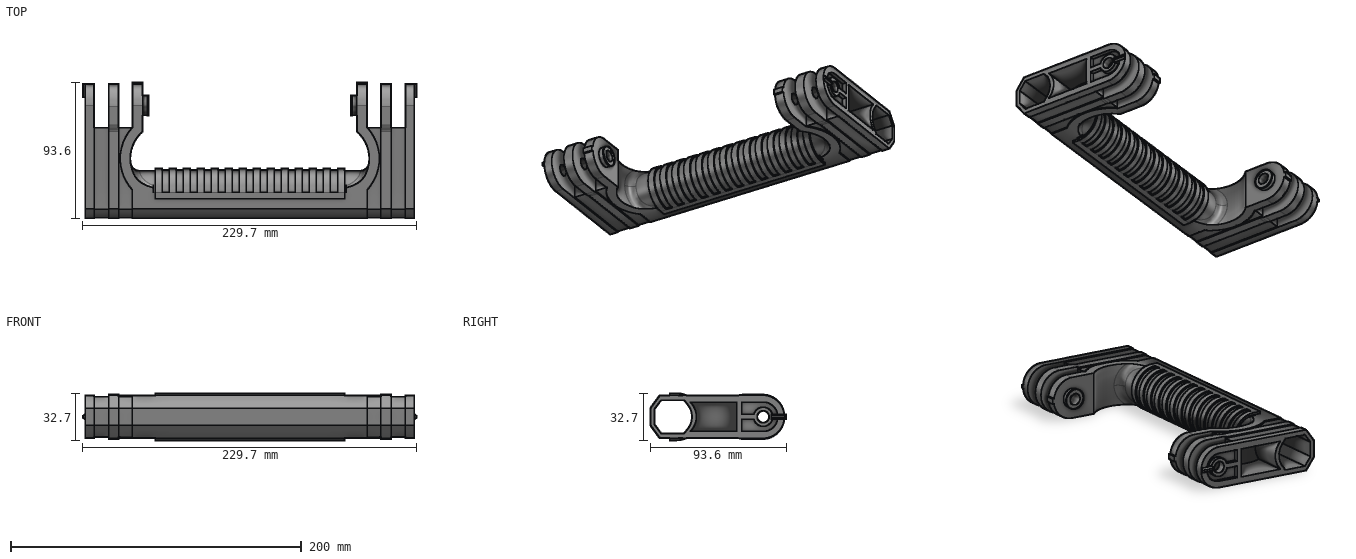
import cadquery as cq
import math

overall_width = 229.74
half_width = 113.2
half_height = 14.75
front_half_height = 6.0
chamfer_depth = 6.4
pivot_y = 77.65
lug_tip_y = pivot_y + half_height
chamfer_rise = half_height - front_half_height

outer_lug_inner_x = 107.1
middle_lug_x = (90.2, 97.2)
inner_lug_x = (73.7, 80.7)
middle_half_height = 15.4
middle_ramp_y = (59.7, 61.7, 64.5)
panel_inset = 0.3
gap_half_height = 13.95
slot_floor_y = 62.3

clearance_x = 57.4
clearance_y = 41.0
clearance_radius = 24.75
band_thickness = inner_lug_x[1] - inner_lug_x[0]
band_radius = clearance_radius + band_thickness

grip_y = 18.0
grip_radius = half_height
grip_fillet_radius = 6.0
pad_half_length = 65.2
pad_start_y = 13.25
overall_height = 32.66
ring_radius = overall_height / 2
groove_radius = 15.3
ring_count = 14
ring_width = 2 * pad_half_length / (2 * ring_count - 1)
ring_pitch = 2 * ring_width

bore_half_height = 11.35
bore_front_y = 2.9
bore_front_half_height = 5.2
bore_chamfer_end_y = 7.5
bore_flat_end_y = 23.3
bore_arc_start_y = 26.1
bore_arc_half_height = 7.8
bore_back_y = 28.6

pocket_end_y = 59.4
pocket_half_height = 10.1
pocket_wall_y = 17.5
pocket_wall_radius = 14.2
recess_depth = 3.0
recess_start_y = 62.9
recess_radius = 10.1
hub_radius = 6.6
rib_half_height = 1.75

pivot_hole_radius = 4.0
boss_radius = 7.1
boss_length = 4.1
boss_shank_radius = 6.9
boss_lip_length = 0.8
ridge_height = overall_width / 2 - half_width
ridge_start_y = 83.2
ridge_crest_half_height = 0.7
ridge_root_gap = 0.3
nub_tip_y = 93.55
nub_half_height = 1.85


def box(x0, x1, y0, y1, half_z):
    """Block between two X and two Y values, symmetric in Z."""
    return cq.Workplane("XY").box(x1 - x0, y1 - y0, 2 * half_z).translate(
        ((x0 + x1) / 2, (y0 + y1) / 2, 0))


def x_extrude(outline, x0, x1):
    """Extrude a closed YZ outline from x0 to x1."""
    return outline.extrude(x1 - x0).translate((x0, 0, 0))


def x_cylinder(y, radius, x0, x1):
    """Cylinder along X, centred on Z = 0."""
    return x_extrude(cq.Workplane("YZ").center(y, 0).circle(radius), x0, x1)


def z_cylinder(x, y, radius):
    """Upright cylinder reaching beyond both faces of the body."""
    return cq.Workplane("XY").center(x, y).circle(radius).extrude(2 * half_height, both=True)


def both_ends(shape):
    """The shape together with its mirror image at the other end."""
    return shape.union(shape.mirror("YZ"))


def chamfered_front(outline, half_z):
    """Start an outline at its lower chamfer edge and lead it round the front to the upper one."""
    edge_y = chamfer_depth * (half_z - front_half_height) / chamfer_rise
    return (outline.moveTo(edge_y, -half_z).lineTo(0, -front_half_height)
            .lineTo(0, front_half_height).lineTo(edge_y, half_z))


def lug(x0, x1):
    """Full-length plate with a round end about the hinge axis."""
    outline = (chamfered_front(cq.Workplane("YZ"), half_height)
               .lineTo(pivot_y, half_height)
               .threePointArc((lug_tip_y, 0), (pivot_y, -half_height)).close())
    return x_extrude(outline, x0, x1)


def middle_lug():
    """Plate whose hinge end is raised by a smooth S-shaped ramp on both faces."""
    start_y, turn_y, end_y = middle_ramp_y
    rise = middle_half_height - half_height
    turn_z = half_height + rise * (turn_y - start_y) / (end_y - start_y)
    round_y = lug_tip_y - middle_half_height
    outline = (chamfered_front(cq.Workplane("YZ"), half_height)
               .lineTo(start_y, half_height)
               .tangentArcPoint((turn_y, turn_z), relative=False)
               .tangentArcPoint((end_y, middle_half_height), relative=False)
               .lineTo(round_y, middle_half_height)
               .threePointArc((lug_tip_y, 0), (round_y, -middle_half_height))
               .lineTo(end_y, -middle_half_height)
               .tangentArcPoint((turn_y, -turn_z), relative=False)
               .tangentArcPoint((start_y, -half_height), relative=False)
               .close())
    return x_extrude(outline, *middle_lug_x)


def slab(x0, x1, end_y, half_z):
    """Plain section with the chamfered front and a flat back."""
    outline = (chamfered_front(cq.Workplane("YZ"), half_z)
               .lineTo(end_y, half_z).lineTo(end_y, -half_z).close())
    return x_extrude(outline, x0, x1)


def end_block():
    """One end: three lugs, the sunken panels between them and the curved band."""
    panels = slab(inner_lug_x[0], half_width, slot_floor_y - panel_inset, gap_half_height)
    panels = panels.translate((0, panel_inset, 0))
    band = slab(inner_lug_x[0], half_width, slot_floor_y, half_height)
    band = band.union(slab(clearance_x, inner_lug_x[0], clearance_y, half_height))
    band = band.intersect(z_cylinder(clearance_x, clearance_y, band_radius))
    foot = slab(*inner_lug_x, clearance_y, half_height)
    block = panels.union(band).union(foot)
    block = block.union(lug(*inner_lug_x))
    block = block.cut(z_cylinder(clearance_x, clearance_y, clearance_radius))
    block = block.union(lug(outer_lug_inner_x, half_width))
    return block.union(middle_lug())


def grip():
    """Cross bar with a half-round back, joined to the bands at both ends."""
    bar = slab(-inner_lug_x[1], inner_lug_x[1], grip_y, half_height)
    back = x_cylinder(grip_y, grip_radius, -inner_lug_x[1], inner_lug_x[1])
    return bar.union(back)


def grip_fillet():
    """Fillet between the round grip back and the wall of the hand clearance at one end.

    The fillet is rolled around a full round bar against an over-tall wall that continues
    tangentially below the grip axis, then trimmed to the thickness of the body.
    """
    wall_x = clearance_x + math.sqrt(clearance_radius**2 - (grip_y - clearance_y)**2)
    slope = (clearance_y - grip_y) / (wall_x - clearance_x)
    high_y = 2 * clearance_y - grip_y
    low_y = grip_y - 2 * grip_radius
    low_x = wall_x - slope * (grip_y - low_y)
    wall = (cq.Workplane("XY").moveTo(low_x, low_y).lineTo(wall_x, grip_y)
            .threePointArc((clearance_x + clearance_radius, clearance_y), (wall_x, high_y))
            .lineTo(half_width, high_y).lineTo(half_width, low_y).close()
            .extrude(2 * half_height, both=True))
    bar = x_cylinder(grip_y, grip_radius, low_x - half_width, half_width)
    joint = wall.union(bar)
    joint = joint.edges("%ELLIPSE").fillet(grip_fillet_radius)
    joint = joint.intersect(box(wall_x, half_width, grip_y, clearance_y, half_height))
    return joint.intersect(z_cylinder(clearance_x, clearance_y, band_radius))


def grip_pad():
    """Raised pad on both flats with ribbed half-round back."""
    pad = box(-pad_half_length, pad_half_length, pad_start_y, grip_y, ring_radius)
    pad = pad.union(x_cylinder(grip_y, groove_radius, -pad_half_length, pad_half_length))
    for index in range(ring_count):
        x0 = -pad_half_length + index * ring_pitch
        pad = pad.union(x_cylinder(grip_y, ring_radius, x0, x0 + ring_width))
    front_space = box(-pad_half_length, pad_half_length, 0, pad_start_y, 2 * half_height)
    return pad.cut(front_space)


def bore():
    """Through bore with chamfered corners and a round back."""
    outline = (cq.Workplane("YZ")
               .moveTo(bore_chamfer_end_y, -bore_half_height)
               .lineTo(bore_front_y, -bore_front_half_height)
               .lineTo(bore_front_y, bore_front_half_height)
               .lineTo(bore_chamfer_end_y, bore_half_height)
               .lineTo(bore_flat_end_y, bore_half_height)
               .lineTo(bore_arc_start_y, bore_arc_half_height)
               .threePointArc((bore_back_y, 0), (bore_arc_start_y, -bore_arc_half_height))
               .lineTo(bore_flat_end_y, -bore_half_height)
               .close())
    return x_extrude(outline, -half_width, half_width)


def end_pocket():
    """Deep end-face pocket that stops at the curved band and at the bore wall."""
    pocket = box(clearance_x, half_width, pocket_wall_y, pocket_end_y, pocket_half_height)
    pocket = pocket.cut(z_cylinder(clearance_x, clearance_y, band_radius))
    return pocket.cut(x_cylinder(pocket_wall_y, pocket_wall_radius, 0, half_width))


def lug_recess():
    """Shallow U-shaped recess around the hub, split by a rib at mid height."""
    x0 = half_width - recess_depth
    recess = box(x0, half_width, recess_start_y, pivot_y, recess_radius)
    recess = recess.union(x_cylinder(pivot_y, recess_radius, x0, half_width))
    recess = recess.cut(x_cylinder(pivot_y, hub_radius, x0, half_width))
    return recess.cut(box(x0, half_width, recess_start_y, lug_tip_y, rib_half_height))


def pivot_details():
    """Boss and tip nub on the inner lug, ridge on the outer lug."""
    inner_face = inner_lug_x[0]
    boss_end = inner_face - boss_length
    boss = x_cylinder(pivot_y, boss_shank_radius, boss_end, inner_face)
    boss = boss.union(x_cylinder(pivot_y, boss_radius, boss_end, boss_end + boss_lip_length))
    nub = box(*inner_lug_x, pivot_y + boss_radius, nub_tip_y, nub_half_height)
    crest_x = half_width + ridge_height
    ridge = (cq.Workplane("XZ")
             .polyline([(half_width, -rib_half_height),
                        (crest_x, -ridge_crest_half_height),
                        (crest_x, ridge_crest_half_height),
                        (half_width, rib_half_height)])
             .close().extrude(-(lug_tip_y - ridge_start_y)).translate((0, ridge_start_y, 0)))
    root = box(half_width - recess_depth, half_width, ridge_start_y,
               lug_tip_y - ridge_root_gap, rib_half_height)
    return boss.union(nub).union(ridge).union(root)


result = grip().union(both_ends(end_block()))
result = result.union(both_ends(grip_fillet())).union(grip_pad())
result = result.cut(bore())
result = result.cut(both_ends(end_pocket())).cut(both_ends(lug_recess()))
result = result.union(both_ends(pivot_details()))
result = result.cut(x_cylinder(pivot_y, pivot_hole_radius, -half_width, half_width))